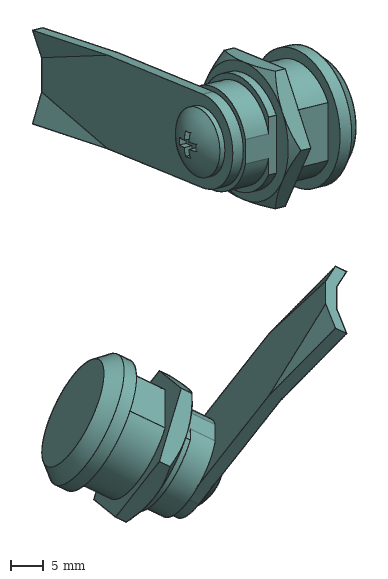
import cadquery as cq
import math


flange_diameter = 22.0
flange_rim_thickness = 2.2
flange_taper_height = 2.35
flange_outer_face_diameter = 18.0

thread_diameter = 18.5
thread_length = 11.4
nose_diameter = 16.5
barrel_length = 15.8
across_barrel_flats = 16.0

nut_across_flats = flange_diameter
nut_across_corners = nut_across_flats * 2 / math.sqrt(3)
nut_thickness = 3.0
nut_seat_depth = 6.9
nut_chamfer_drop = 1.1

cam_thickness = 2.0
cam_width = 14.95
cam_reach = 40.0
bend_length = 16.45
tip_flat_width = 5.5
bend_offset = 1.75

screw_diameter = 11.0
screw_rim_height = 0.95
screw_dome_height = 2.15
recess_length = 4.05
recess_slot_width = 1.15
recess_depth = 1.5

nut_back_y = -nut_seat_depth
nut_front_y = nut_back_y - nut_thickness
cam_back_y = -barrel_length
cam_front_y = cam_back_y - cam_thickness
dome_base_y = cam_front_y - screw_rim_height
dome_tip_y = dome_base_y - screw_dome_height


def cylinder(diameter, start_y, end_y):
    """Cylinder on the lock axis running toward -Y."""
    return cq.Workplane("XZ", origin=(0, start_y, 0)).circle(diameter / 2).extrude(start_y - end_y)


def make_flange():
    rim_radius = flange_diameter / 2
    flange_height = flange_rim_thickness + flange_taper_height
    profile = [
        (0, 0),
        (rim_radius, 0),
        (rim_radius, flange_rim_thickness),
        (flange_outer_face_diameter / 2, flange_height),
        (0, flange_height),
    ]
    return cq.Workplane("XY").polyline(profile).close().revolve(360, (0, 0, 0), (0, 1, 0))


def make_barrel():
    thread = cylinder(thread_diameter, 0, -thread_length)
    nose = cylinder(nose_diameter, -thread_length, cam_back_y)
    flats = cq.Workplane("XZ").rect(across_barrel_flats, thread_diameter).extrude(barrel_length)
    return thread.union(nose).intersect(flats)


def make_bent_corner(side):
    """Triangular corner of the arm, bent toward -Y; side is +1 or -1 along Z."""
    edge_z = side * cam_width / 2
    back_corners = [
        cq.Vector(bend_length - cam_reach, cam_back_y, edge_z),
        cq.Vector(-cam_reach, cam_back_y, side * tip_flat_width / 2),
        cq.Vector(-cam_reach, cam_back_y - bend_offset, edge_z),
    ]
    back_face = cq.Face.makeFromWires(cq.Wire.makePolygon(back_corners, close=True))
    return cq.Workplane(cq.Solid.extrudeLinear(back_face, cq.Vector(0, -cam_thickness, 0)))


def make_cam():
    half_width = cam_width / 2
    bend_start_x = bend_length - cam_reach
    cam = (
        cq.Workplane("XZ", origin=(0, cam_back_y, 0))
        .moveTo(0, half_width)
        .threePointArc((half_width, 0), (0, -half_width))
        .lineTo(bend_start_x, -half_width)
        .lineTo(-cam_reach, -tip_flat_width / 2)
        .lineTo(-cam_reach, tip_flat_width / 2)
        .lineTo(bend_start_x, half_width)
        .close()
        .extrude(cam_thickness)
    )
    for side in (1, -1):
        cam = cam.union(make_bent_corner(side))
    return cam


def make_screw_head():
    radius = screw_diameter / 2
    dome_radius = (radius**2 + screw_dome_height**2) / (2 * screw_dome_height)
    dome_center_y = dome_tip_y + dome_radius
    arc_angle = math.asin(radius / dome_radius) / 2
    arc_middle = (dome_radius * math.sin(arc_angle), dome_center_y - dome_radius * math.cos(arc_angle))
    head = (
        cq.Workplane("XY")
        .moveTo(0, cam_front_y)
        .lineTo(radius, cam_front_y)
        .lineTo(radius, dome_base_y)
        .threePointArc(arc_middle, (0, dome_tip_y))
        .close()
        .revolve(360, (0, 0, 0), (0, 1, 0))
    )
    recess_plane = cq.Workplane("XZ", origin=(0, dome_tip_y + recess_depth, 0))
    for slot_size in ((recess_length, recess_slot_width), (recess_slot_width, recess_length)):
        head = head.cut(recess_plane.rect(*slot_size).extrude(recess_depth))
    return head


def make_nut():
    """Hexagonal nut that fits the flatted barrel, its front corners trimmed by a cone."""
    blank = (
        cq.Workplane("XZ", origin=(0, nut_back_y, 0))
        .polygon(6, nut_across_corners)
        .extrude(nut_thickness)
    )
    corner_radius = nut_across_corners / 2
    chamfer_profile = [
        (0, nut_back_y),
        (corner_radius, nut_back_y),
        (corner_radius, nut_front_y + nut_chamfer_drop),
        (nut_across_flats / 2, nut_front_y),
        (0, nut_front_y),
    ]
    envelope = cq.Workplane("XY").polyline(chamfer_profile).close().revolve(360, (0, 0, 0), (0, 1, 0))
    return blank.intersect(envelope).cut(make_barrel())


def make_housing():
    """Flange, flatted barrel and hexagonal nut as one solid."""
    return make_flange().union(make_barrel()).union(make_nut())


def make_latch():
    """Cam arm and its screw head as one solid, seated on the end of the barrel."""
    return make_cam().union(make_screw_head())


housing = make_housing().solids()
latch = make_latch().solids()
result = cq.Compound.makeCompound([housing.val(), latch.val()])